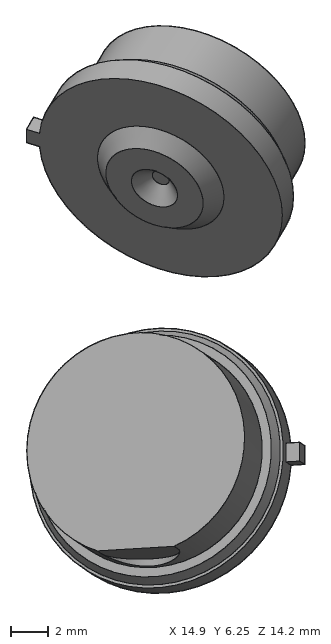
import cadquery as cq
import math

flange_radius = 7.08
flange_thickness = 1.52
shoulder_front_radius = 6.91
shoulder_back_radius = 6.59
shoulder_length = 0.58
hub_radius = 6.08
hub_length = 3.3
nose_base_radius = 3.68
nose_tip_radius = 2.83
nose_height = 0.85

recess_mouth_radius = 1.34
recess_floor_radius = 0.49

tab_reach = 7.82
tab_depth = 0.98
tab_height = 1.03

flat_radius = 2.15
flat_straight_length = 0.75

shoulder_start = flange_thickness
hub_start = shoulder_start + shoulder_length
back = hub_start + hub_length


def make_body():
    """Revolve the stepped half-section, including the nose recess."""
    half_section = [
        (0, 0),
        (recess_floor_radius, 0),
        (recess_mouth_radius, -nose_height),
        (nose_tip_radius, -nose_height),
        (nose_base_radius, 0),
        (flange_radius, 0),
        (flange_radius, shoulder_start),
        (shoulder_front_radius, shoulder_start),
        (shoulder_back_radius, hub_start),
        (hub_radius, hub_start),
        (hub_radius, back),
        (0, back),
    ]
    profile = cq.Workplane("XY").polyline(half_section).close()
    return profile.revolve(360, (0, 0, 0), (0, 1, 0))


def make_tab():
    """Block from inside the flange out to the tab end, flush with the flange face."""
    return (
        cq.Workplane("XY")
        .box(tab_reach - hub_radius, tab_depth, tab_height, centered=(False, False, True))
        .translate((-tab_reach, 0, 0))
    )


def make_flat_cutter():
    """U-shaped cutter whose top is the chord plane as wide as the U."""
    chord_height = math.sqrt(hub_radius**2 - flat_radius**2)
    arc_center = back - flat_straight_length
    return (
        cq.Workplane("XY")
        .workplane(offset=-hub_radius)
        .moveTo(-flat_radius, back)
        .lineTo(-flat_radius, arc_center)
        .threePointArc((0, arc_center - flat_radius), (flat_radius, arc_center))
        .lineTo(flat_radius, back)
        .close()
        .extrude(hub_radius - chord_height)
    )


result = make_body().cut(make_flat_cutter()).union(make_tab())